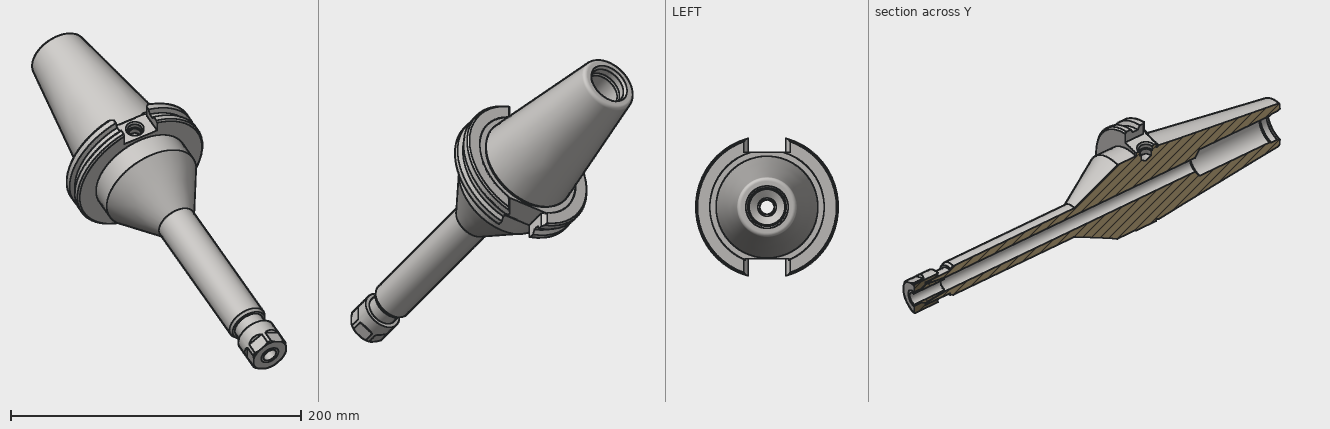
import cadquery as cq
import math

TOTAL_LENGTH = 308.0
GAUGE_X = 101.5
FLANGE_BACK_X = 103.0
FLANGE_FRONT_X = 121.3
GROOVE_X = 112.7
CONE_START_X = 136.7
SHANK_START_X = 173.0
SHANK_END_X = 277.5
NUT_BACK_X = 287.5
NECK_END_X = 298.5

GAUGE_DIAMETER = 70.2
TAPER_RATIO = 7 / 24
SMALL_END_FILLET = 2.8
GAUGE_RELIEF = 1.0
FLANGE_DIAMETER = 98.2
FLANGE_CHAMFER = 1.2
GROOVE_DEPTH = 3.0
GROOVE_FLOOR_WIDTH = 4.0
GROOVE_HALF_ANGLE = 30
FACE_RECESS_DIAMETER = 78.8
FACE_RECESS_DEPTH = 1.0
SHANK_DIAMETER = 27.7
SHANK_CHAMFER = 2.5
SHANK_CHAMFER_DROP = 1.2
NECK_DIAMETER = 22.0

SLOT_WIDTH = 25.5
SLOT_CHAMFER = 3.0
UPPER_SLOT_FLOOR = 38.0
LOWER_SLOT_FLOOR = 35.7

PLUG_MOUTH_DIAMETER = 12.5
PLUG_DIAMETER = 10.2
PLUG_DEPTH = 4.5
PILOT_DIAMETER = 8.0
PILOT_DEPTH = 9.2
DRILL_HALF_ANGLE = 59

MOUTH_DIAMETER = 29.2
COUNTERBORE_DIAMETER = 26.5
COUNTERBORE_DEPTH = 7.5
COUNTERSINK_HALF_ANGLE = 30
DRAWBAR_DIAMETER = 24.5
DRAWBAR_DEPTH = 67.7
COOLANT_DIAMETER = 12.5

COLLET_DIAMETER = 17.2
COLLET_BORE_DIAMETER = 10.0
COLLET_HALF_ANGLE = 8
NOSE_HALF_ANGLE = 30
NOSE_DIAMETER = 13.5

NUT_DIAMETER = 27.7
HEX_ACROSS_FLATS = 25.2
HEX_SIDES = 6
FLAT_START_X = 298.5
FLAT_RAMP_LENGTH = 1.5
NUT_END_CHAMFER = 1.0


def axial_run(large_diameter, small_diameter, half_angle):
    """Axial length of a cone between two diameters."""
    return (large_diameter - small_diameter) / 2 / math.tan(math.radians(half_angle))


def revolve_about_x(points):
    """Solid of revolution from (x, radius) points."""
    return cq.Workplane("XY").polyline(points).close().revolve(360, (0, 0, 0), (1, 0, 0))


SOCKET_START_X = NECK_END_X - axial_run(COLLET_DIAMETER, COOLANT_DIAMETER, COLLET_HALF_ANGLE)
NOSE_START_X = NECK_END_X + axial_run(COLLET_DIAMETER, NOSE_DIAMETER, NOSE_HALF_ANGLE)


def holder_blank():
    """Taper, shank and neck, without the flange or the bore."""
    gauge_radius = GAUGE_DIAMETER / 2
    small_end_radius = gauge_radius - GAUGE_X * TAPER_RATIO / 2
    relief_radius = gauge_radius - GAUGE_RELIEF
    shank_radius = SHANK_DIAMETER / 2
    neck_radius = NECK_DIAMETER / 2
    recess_x = FLANGE_BACK_X + FACE_RECESS_DEPTH
    blank = revolve_about_x([
        (0, 0),
        (0, small_end_radius),
        (GAUGE_X, gauge_radius),
        (FLANGE_BACK_X - GAUGE_RELIEF, gauge_radius),
        (FLANGE_BACK_X, relief_radius),
        (recess_x, relief_radius),
        (recess_x, gauge_radius),
        (CONE_START_X, gauge_radius),
        (SHANK_START_X, shank_radius),
        (SHANK_END_X - SHANK_CHAMFER, shank_radius),
        (SHANK_END_X, shank_radius - SHANK_CHAMFER_DROP),
        (SHANK_END_X, neck_radius),
        (NECK_END_X, neck_radius),
        (NECK_END_X, 0),
    ])
    return blank.faces("<X").edges().fillet(SMALL_END_FILLET)


def flange_ring():
    """Flange with a V groove around its rim and a shallow recess in its back face."""
    inner_radius = GAUGE_DIAMETER / 2
    rim_radius = FLANGE_DIAMETER / 2
    recess_radius = FACE_RECESS_DIAMETER / 2
    recess_x = FLANGE_BACK_X + FACE_RECESS_DEPTH
    floor_radius = rim_radius - GROOVE_DEPTH
    floor_half = GROOVE_FLOOR_WIDTH / 2
    mouth_half = floor_half + GROOVE_DEPTH * math.tan(math.radians(GROOVE_HALF_ANGLE))
    return revolve_about_x([
        (recess_x, inner_radius),
        (recess_x, recess_radius),
        (FLANGE_BACK_X, recess_radius),
        (FLANGE_BACK_X, rim_radius - FLANGE_CHAMFER),
        (FLANGE_BACK_X + FLANGE_CHAMFER, rim_radius),
        (GROOVE_X - mouth_half, rim_radius),
        (GROOVE_X - floor_half, floor_radius),
        (GROOVE_X + floor_half, floor_radius),
        (GROOVE_X + mouth_half, rim_radius),
        (FLANGE_FRONT_X - FLANGE_CHAMFER, rim_radius),
        (FLANGE_FRONT_X, rim_radius - FLANGE_CHAMFER),
        (FLANGE_FRONT_X, inner_radius),
    ])


def slot_cutter(floor_distance, side):
    """Drive slot with flared walls at the back face; side is +1 for +Z and -1 for -Z."""
    half_width = SLOT_WIDTH / 2
    flared_half = half_width + SLOT_CHAMFER
    outline = [
        (FLANGE_BACK_X, -flared_half),
        (FLANGE_BACK_X + SLOT_CHAMFER, -half_width),
        (FLANGE_FRONT_X, -half_width),
        (FLANGE_FRONT_X, half_width),
        (FLANGE_BACK_X + SLOT_CHAMFER, half_width),
        (FLANGE_BACK_X, flared_half),
    ]
    plane = cq.Workplane("XY").workplane(offset=side * floor_distance)
    return plane.polyline(outline).close().extrude(side * FLANGE_DIAMETER / 2)


def plug_hole_cutter():
    """Countersunk, stepped blind hole with a drill point, going down from the slot floor."""
    mouth_radius = PLUG_MOUTH_DIAMETER / 2
    plug_radius = PLUG_DIAMETER / 2
    pilot_radius = PILOT_DIAMETER / 2
    tip_depth = PILOT_DEPTH + axial_run(PILOT_DIAMETER, 0, DRILL_HALF_ANGLE)
    profile = [
        (0, 0),
        (mouth_radius, 0),
        (plug_radius, plug_radius - mouth_radius),
        (plug_radius, -PLUG_DEPTH),
        (pilot_radius, -PLUG_DEPTH),
        (pilot_radius, -PILOT_DEPTH),
        (0, -tip_depth),
    ]
    cutter = cq.Workplane("XZ").polyline(profile).close().revolve(360, (0, 0, 0), (0, 1, 0))
    return cutter.translate((GROOVE_X, 0, UPPER_SLOT_FLOOR))


def holder_bore_cutter():
    """Drawbar hole, coolant hole and tapered collet socket along the axis."""
    counterbore_radius = COUNTERBORE_DIAMETER / 2
    drawbar_radius = DRAWBAR_DIAMETER / 2
    coolant_radius = COOLANT_DIAMETER / 2
    countersink_depth = axial_run(MOUTH_DIAMETER, COUNTERBORE_DIAMETER, COUNTERSINK_HALF_ANGLE)
    step_run = axial_run(COUNTERBORE_DIAMETER, DRAWBAR_DIAMETER, COUNTERSINK_HALF_ANGLE)
    point_run = axial_run(DRAWBAR_DIAMETER, COOLANT_DIAMETER, DRILL_HALF_ANGLE)
    return revolve_about_x([
        (0, 0),
        (0, MOUTH_DIAMETER / 2),
        (countersink_depth, counterbore_radius),
        (COUNTERBORE_DEPTH, counterbore_radius),
        (COUNTERBORE_DEPTH + step_run, drawbar_radius),
        (DRAWBAR_DEPTH, drawbar_radius),
        (DRAWBAR_DEPTH + point_run, coolant_radius),
        (SOCKET_START_X, coolant_radius),
        (NECK_END_X, COLLET_DIAMETER / 2),
        (NECK_END_X, 0),
    ])


def make_holder():
    body = holder_blank().union(flange_ring())
    body = body.cut(slot_cutter(UPPER_SLOT_FLOOR, 1))
    body = body.cut(slot_cutter(LOWER_SLOT_FLOOR, -1))
    body = body.cut(plug_hole_cutter())
    return body.cut(holder_bore_cutter())


def make_collet():
    """Sleeve that fills the socket and the nut's clamping cone."""
    bore_radius = COLLET_BORE_DIAMETER / 2
    nose_radius = NOSE_DIAMETER / 2
    return revolve_about_x([
        (SOCKET_START_X, bore_radius),
        (SOCKET_START_X, COOLANT_DIAMETER / 2),
        (NECK_END_X, COLLET_DIAMETER / 2),
        (NOSE_START_X, nose_radius),
        (TOTAL_LENGTH, nose_radius),
        (TOTAL_LENGTH, bore_radius),
    ])


def flat_cutter():
    """Material outside one wrench flat, with a ramp up to the round part of the nut."""
    flat_height = HEX_ACROSS_FLATS / 2
    rim_radius = NUT_DIAMETER / 2
    profile = [
        (FLAT_START_X, flat_height),
        (TOTAL_LENGTH, flat_height),
        (TOTAL_LENGTH, rim_radius),
        (FLAT_START_X - FLAT_RAMP_LENGTH, rim_radius),
    ]
    return cq.Workplane("XZ").polyline(profile).close().extrude(rim_radius, both=True)


def make_nut():
    """Round nut with hexagon flats at its front end."""
    rim_radius = NUT_DIAMETER / 2
    thread_radius = NECK_DIAMETER / 2
    nose_radius = NOSE_DIAMETER / 2
    nut = revolve_about_x([
        (NUT_BACK_X, thread_radius),
        (NUT_BACK_X, rim_radius),
        (TOTAL_LENGTH - NUT_END_CHAMFER, rim_radius),
        (TOTAL_LENGTH, rim_radius - NUT_END_CHAMFER),
        (TOTAL_LENGTH, nose_radius),
        (NOSE_START_X, nose_radius),
        (NECK_END_X, COLLET_DIAMETER / 2),
        (NECK_END_X, thread_radius),
    ])
    side_angle = 360 / HEX_SIDES
    for side in range(HEX_SIDES):
        turn = (side + 0.5) * side_angle
        nut = nut.cut(flat_cutter().rotate((0, 0, 0), (1, 0, 0), turn))
    return nut


holder = make_holder()
collet = make_collet()
nut = make_nut()

result = cq.Compound.makeCompound([holder.val(), collet.val(), nut.val()])